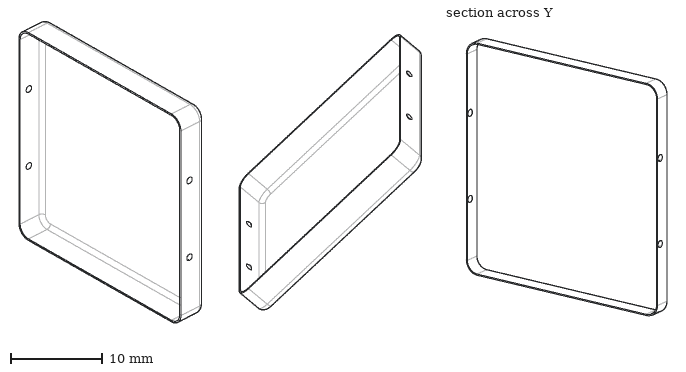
import cadquery as cq
import math

width = 25.8
depth = 3.5
height = 27.0
wall = 0.2

corner_radius = 1.5
back_edge_radius = 0.7

detent_radius = 0.5
detent_depth = 0.2
detent_spacing = 10.0
detent_from_rim = 1.3

rim_y = -depth / 2
detent_y = rim_y + detent_from_rim


def rounded_block(block_width, block_height, block_depth, side_radius, back_radius):
    """Block starting at the rim plane, with rounded sides and a rounded back edge."""
    return (
        cq.Workplane("XY")
        .box(block_width, block_depth, block_height)
        .translate((0, rim_y + block_depth / 2, 0))
        .edges("|Y")
        .fillet(side_radius)
        .faces(">Y")
        .edges()
        .fillet(back_radius)
    )


def detent_cap(surface_x, side, z):
    """Spherical cap reaching detent_depth inward from a flat base on a wall surface."""
    base_radius = math.sqrt(detent_radius**2 - (detent_radius - detent_depth) ** 2)
    half_angle = math.asin(base_radius / detent_radius) / 2
    arc_middle = (
        detent_depth - detent_radius * (1 - math.cos(half_angle)),
        detent_radius * math.sin(half_angle),
    )
    inward_turn = 180 if side > 0 else 0
    return (
        cq.Workplane("XY")
        .moveTo(0, 0)
        .lineTo(detent_depth, 0)
        .threePointArc(arc_middle, (0, base_radius))
        .close()
        .revolve(360, (0, 0, 0), (1, 0, 0))
        .rotate((0, 0, 0), (0, 0, 1), inward_turn)
        .translate((side * surface_x, detent_y, z))
    )


outer = rounded_block(width, height, depth, corner_radius, back_edge_radius)
cavity = rounded_block(
    width - 2 * wall,
    height - 2 * wall,
    depth - wall,
    corner_radius - wall,
    back_edge_radius - wall,
)

tray = outer.cut(cavity)

for side in (-1, 1):
    for z in (-detent_spacing / 2, detent_spacing / 2):
        bump = detent_cap(width / 2 - wall, side, z)
        dimple = detent_cap(width / 2, side, z)
        tray = tray.union(bump).cut(dimple)

result = tray